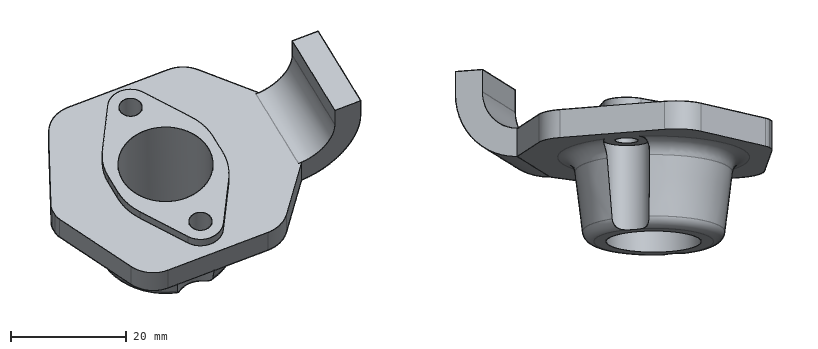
import cadquery as cq
import math

PLATE_THICKNESS = 5.0
PLATE_HALF_WIDTH = 20.0
SHOULDER_Y = 13.0
SHOULDER_RADIUS = 6.0
NOSE_Y = -21.5
NOSE_HALF_WIDTH = 1.1
NOSE_RADIUS = 3.0
NECK_Y = 22.1

HOOK_WIDTH = 17.1
HOOK_THICKNESS = PLATE_THICKNESS
HOOK_INNER_RADIUS = 7.0
HOOK_OUTER_RADIUS = HOOK_INNER_RADIUS + HOOK_THICKNESS
HOOK_BACK_Y = 33.5
HOOK_STRAIGHT = 4.0

PAD_HEIGHT = 1.8
PAD_HALF_DEPTH = 10.125
PAD_CORNER_RADIUS = 11.0
PAD_END_RADIUS = 4.0
PAD_FLANK_ANGLE = 31.0
SCREW_X = 14.0
SCREW_DIAMETER = 4.0

BOSS_HEIGHT = 15.0
BOSS_ROOT_RADIUS = 14.0
BOSS_DRAFT = 7.0
BOSS_ROOT_FILLET = 3.0
BOSS_TIP_FILLET = 2.0
SCREW_CLEARANCE_RADIUS = 4.0
BORE_DIAMETER = 16.5

SCREW_POINTS = [(-SCREW_X, 0), (SCREW_X, 0)]


def make_plate():
    neck_half_width = HOOK_WIDTH / 2
    outline = [
        (neck_half_width, NECK_Y),
        (PLATE_HALF_WIDTH, SHOULDER_Y),
        (PLATE_HALF_WIDTH, -SHOULDER_Y),
        (NOSE_HALF_WIDTH, NOSE_Y),
        (-NOSE_HALF_WIDTH, NOSE_Y),
        (-PLATE_HALF_WIDTH, -SHOULDER_Y),
        (-PLATE_HALF_WIDTH, SHOULDER_Y),
        (-neck_half_width, NECK_Y),
    ]
    plate = cq.Workplane("XY").polyline(outline).close().extrude(PLATE_THICKNESS)
    plate = plate.faces("<X or >X").edges("|Z").fillet(SHOULDER_RADIUS)
    return plate.faces("<Y").edges("|Z").fillet(NOSE_RADIUS)


def make_boss():
    tip_radius = BOSS_ROOT_RADIUS - BOSS_HEIGHT * math.tan(math.radians(BOSS_DRAFT))
    profile = [
        (0, 0),
        (BOSS_ROOT_RADIUS, 0),
        (tip_radius, -BOSS_HEIGHT),
        (0, -BOSS_HEIGHT),
    ]
    boss = cq.Workplane("XZ").polyline(profile).close().revolve(360, (0, 0), (0, 1))
    return boss.faces("<Z").edges().fillet(BOSS_TIP_FILLET)


def fillet_boss_root(body):
    root_edge = cq.selectors.NearestToPointSelector((0, 0, 0))
    return body.edges("%CIRCLE").edges(root_edge).fillet(BOSS_ROOT_FILLET)


def make_hook():
    start_y = HOOK_BACK_Y - HOOK_OUTER_RADIUS
    inner_y = HOOK_BACK_Y - HOOK_THICKNESS
    turn_z = HOOK_OUTER_RADIUS
    top_z = turn_z + HOOK_STRAIGHT
    outer_mid = HOOK_OUTER_RADIUS * math.sqrt(0.5)
    inner_mid = HOOK_INNER_RADIUS * math.sqrt(0.5)
    return (
        cq.Workplane("YZ")
        .moveTo(start_y, 0)
        .threePointArc((start_y + outer_mid, turn_z - outer_mid), (HOOK_BACK_Y, turn_z))
        .lineTo(HOOK_BACK_Y, top_z)
        .lineTo(inner_y, top_z)
        .lineTo(inner_y, turn_z)
        .threePointArc((start_y + inner_mid, turn_z - inner_mid), (start_y, HOOK_THICKNESS))
        .close()
        .extrude(HOOK_WIDTH / 2, both=True)
    )


def make_pad():
    angle = math.radians(PAD_FLANK_ANGLE)
    tangent_x = SCREW_X + PAD_END_RADIUS * math.sin(angle)
    tangent_y = PAD_END_RADIUS * math.cos(angle)
    corner_x = tangent_x - (PAD_HALF_DEPTH - tangent_y) / math.tan(angle)
    end_x = SCREW_X + PAD_END_RADIUS
    pad = (
        cq.Workplane("XY", origin=(0, 0, PLATE_THICKNESS))
        .moveTo(tangent_x, tangent_y)
        .lineTo(corner_x, PAD_HALF_DEPTH)
        .lineTo(-corner_x, PAD_HALF_DEPTH)
        .lineTo(-tangent_x, tangent_y)
        .threePointArc((-end_x, 0), (-tangent_x, -tangent_y))
        .lineTo(-corner_x, -PAD_HALF_DEPTH)
        .lineTo(corner_x, -PAD_HALF_DEPTH)
        .lineTo(tangent_x, -tangent_y)
        .threePointArc((end_x, 0), (tangent_x, tangent_y))
        .close()
        .extrude(PAD_HEIGHT)
    )
    return pad.faces("<Y or >Y").edges("|Z").fillet(PAD_CORNER_RADIUS)


def vertical_cylinders(points, radius, bottom_z, top_z):
    return (
        cq.Workplane("XY", origin=(0, 0, bottom_z))
        .pushPoints(points)
        .circle(radius)
        .extrude(top_z - bottom_z)
    )


pad_top_z = PLATE_THICKNESS + PAD_HEIGHT
screw_clearance = vertical_cylinders(SCREW_POINTS, SCREW_CLEARANCE_RADIUS, -BOSS_HEIGHT, 0)
screw_holes = vertical_cylinders(SCREW_POINTS, SCREW_DIAMETER / 2, 0, pad_top_z)
bore = vertical_cylinders([(0, 0)], BORE_DIAMETER / 2, -BOSS_HEIGHT, pad_top_z)

body = fillet_boss_root(make_plate().union(make_boss()))
body = body.union(make_hook()).union(make_pad())
result = body.cut(screw_clearance).cut(screw_holes).cut(bore)